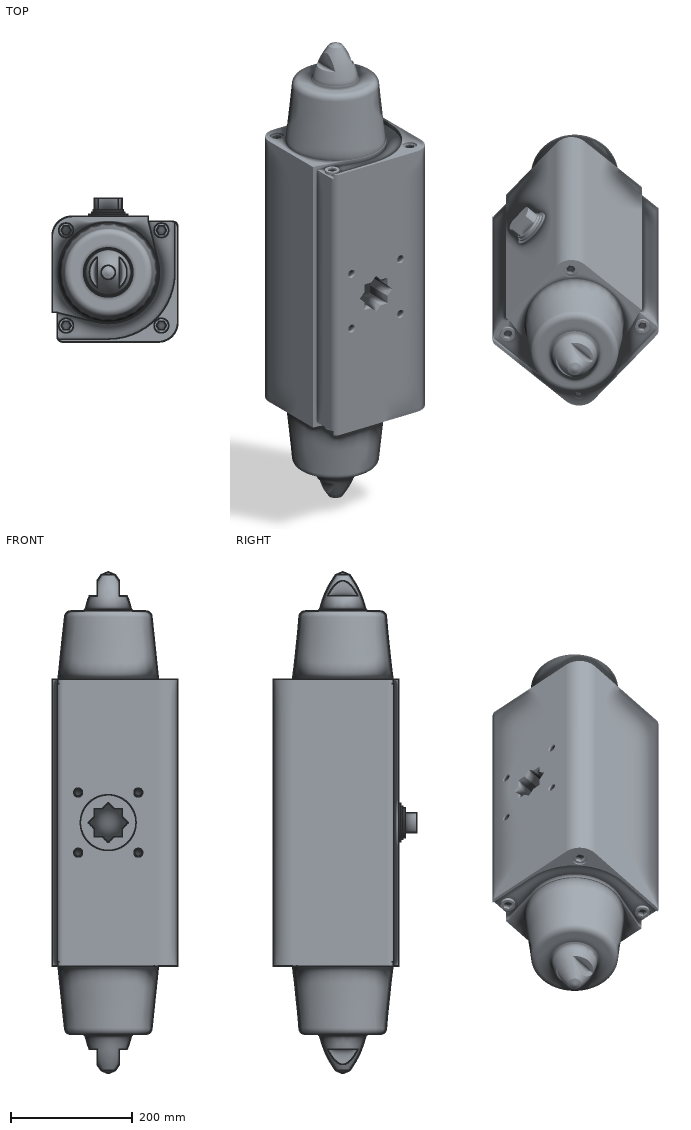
import cadquery as cq
import math


near_face = 93.0
far_face = 115.0
stepped_face = 84.5
step_place = 66.0
large_corner_radius = 33.0
small_corner_radius = 10.0
half_body_height = 237.0

recess_depth = 7.5
rim_width = 5.0
recess_reach = far_face - rim_width
pad_radius = 84.5

cap_base_radius = 83.0
cap_shoulder_radius = 72.0
cap_shoulder_height = 339.5
cap_flat_radius = 61.0
cap_top_height = 349.5
tip_foot_radius = 40.5
tip_base_radius = 38.0
tip_base_height = 352.0
tip_middle_radius = 28.0
tip_middle_height = 381.0
tip_end_radius = 12.0
tip_end_height = 409.0
half_height = 414.0
tip_flat_distance = 18.0
tip_flat_height = 374.0

screw_near_offset = 69.5
screw_far_offset = 88.0
screw_head_diameter = 24.0
screw_head_sink = 2.5
socket_across_flats = 14.0
socket_across_corners = socket_across_flats / math.cos(math.pi / 6)
socket_depth = 10.0

mount_spacing = 99.0
mount_diameter = 12.0
mount_mouth_diameter = 14.0
mount_depth = 21.0
drill_cone_height = 3.0

shaft_diameter = 92.0
shaft_shoulder = 66.0
star_side = 46.0
star_depth = 50.0
neck_diameter = 64.0
neck_end = 96.0
collar_diameter = 55.0
collar_end = 99.0
flange_diameter = 50.0
flange_end = 103.5
stub_diameter = 46.0
stub_across_flats = 33.0
stub_end = 122.5


def vertical_edges_at(x, y):
    """Select the upright edges standing at (x, y)."""
    margin = 0.1
    reach = half_body_height + margin
    return cq.selectors.BoxSelector(
        (x - margin, y - margin, -reach), (x + margin, y + margin, reach)
    )


def housing_block():
    block = (
        cq.Workplane("XY")
        .workplane(offset=-half_body_height)
        .polyline([
            (-near_face, near_face),
            (step_place, near_face),
            (step_place, stepped_face),
            (far_face, stepped_face),
            (far_face, -far_face),
            (-stepped_face, -far_face),
            (-stepped_face, -step_place),
            (-near_face, -step_place),
        ])
        .close()
        .extrude(2 * half_body_height)
    )
    for x, y in [(-near_face, near_face), (far_face, -far_face)]:
        block = block.edges(vertical_edges_at(x, y)).fillet(large_corner_radius)
    for x, y in [(far_face, stepped_face), (-stepped_face, -far_face)]:
        block = block.edges(vertical_edges_at(x, y)).fillet(small_corner_radius)
    return block


def end_recess():
    """Material removed from the top face around the raised pad."""
    floor = cq.Workplane("XY").workplane(offset=half_body_height - recess_depth)
    recess = (
        floor
        .moveTo(-stepped_face, stepped_face)
        .lineTo(recess_reach, stepped_face)
        .lineTo(recess_reach, 0)
        .radiusArc((0, -recess_reach), recess_reach)
        .lineTo(-stepped_face, -recess_reach)
        .close()
        .extrude(recess_depth)
    )
    step_angle = math.atan2(stepped_face, step_place)
    tangent_angle = step_angle - math.acos(pad_radius / math.hypot(step_place, stepped_face))
    tangent_x = pad_radius * math.cos(tangent_angle)
    tangent_y = pad_radius * math.sin(tangent_angle)
    pad_sides = (
        floor
        .polyline([
            (0, 0),
            (tangent_x, tangent_y),
            (step_place, stepped_face),
            (-stepped_face, stepped_face),
            (-stepped_face, -step_place),
            (-tangent_y, -tangent_x),
        ])
        .close()
        .extrude(recess_depth)
    )
    pad_round = floor.circle(pad_radius).extrude(recess_depth)
    return recess.cut(pad_sides).cut(pad_round)


def spring_cap():
    """Tapered cap with its pointed tip, reaching up from the top face."""
    cap = (
        cq.Workplane("XZ")
        .moveTo(0, half_body_height - recess_depth)
        .lineTo(cap_base_radius, half_body_height - recess_depth)
        .lineTo(cap_base_radius, half_body_height)
        .lineTo(cap_shoulder_radius, cap_shoulder_height)
        .radiusArc((cap_flat_radius, cap_top_height), -(cap_shoulder_radius - cap_flat_radius))
        .lineTo(tip_foot_radius, cap_top_height)
        .lineTo(tip_base_radius, tip_base_height)
        .threePointArc((tip_middle_radius, tip_middle_height), (tip_end_radius, tip_end_height))
        .lineTo(0, half_height)
        .close()
        .revolve(360, (0, 0, 0), (0, 1, 0))
    )
    for side in (-1, 1):
        beside_flat = (
            cq.Workplane("XY")
            .box(tip_foot_radius, 2 * tip_foot_radius, half_height - tip_flat_height,
                 centered=(True, True, False))
            .translate((side * (tip_flat_distance + tip_foot_radius / 2), 0, tip_flat_height))
        )
        cap = cap.cut(beside_flat)
    return cap


def screw_points(height):
    return (
        cq.Workplane("XY")
        .workplane(offset=height)
        .pushPoints([
            (x, y)
            for x in (-screw_near_offset, screw_far_offset)
            for y in (screw_near_offset, -screw_far_offset)
        ])
    )


def add_top_end(housing):
    """Recess, spring cap and corner screws of the upper end."""
    head_top = half_body_height - screw_head_sink
    head_base = half_body_height - recess_depth
    counterbores = screw_points(head_base).circle(screw_head_diameter / 2).extrude(recess_depth)
    heads = screw_points(head_base).circle(screw_head_diameter / 2).extrude(head_top - head_base)
    sockets = screw_points(head_top).polygon(6, socket_across_corners).extrude(-socket_depth)
    return (
        housing
        .cut(end_recess())
        .cut(counterbores)
        .union(spring_cap())
        .union(heads)
        .cut(sockets)
    )


def mounting_hole():
    """Countersunk blind hole with a drill-point bottom, running from y = 0 toward +Y."""
    radius = mount_diameter / 2
    mouth_radius = mount_mouth_diameter / 2
    return (
        cq.Workplane("XY")
        .polyline([
            (0, 0),
            (mouth_radius, 0),
            (radius, mouth_radius - radius),
            (radius, mount_depth),
            (0, mount_depth + drill_cone_height),
        ])
        .close()
        .revolve(360, (0, 0, 0), (0, 1, 0))
    )


def shaft_section(diameter, start, end):
    """Round length of the shaft from y = start to y = end."""
    return cq.Workplane("XZ").workplane(offset=-start).circle(diameter / 2).extrude(start - end)


def make_housing():
    housing = add_top_end(housing_block())
    housing = add_top_end(housing.mirror("XY"))
    for x in (-mount_spacing / 2, mount_spacing / 2):
        for z in (-mount_spacing / 2, mount_spacing / 2):
            housing = housing.cut(mounting_hole().translate((x, -far_face, z)))
    housing = housing.cut(shaft_section(shaft_diameter, -far_face, shaft_shoulder))
    return housing.cut(shaft_section(neck_diameter, shaft_shoulder, near_face))


def make_shaft():
    shaft = (
        shaft_section(shaft_diameter, -far_face, shaft_shoulder)
        .union(shaft_section(neck_diameter, shaft_shoulder, neck_end))
        .union(shaft_section(collar_diameter, neck_end, collar_end))
        .union(shaft_section(flange_diameter, collar_end, flange_end))
    )
    stub = shaft_section(stub_diameter, flange_end, stub_end)
    between_flats = cq.Workplane("XY").box(stub_diameter, 2 * stub_end, stub_across_flats)
    shaft = shaft.union(stub.intersect(between_flats))
    for angle in (0, 45):
        square_pocket = (
            cq.Workplane("XZ")
            .workplane(offset=far_face)
            .transformed(rotate=(0, 0, angle))
            .rect(star_side, star_side)
            .extrude(-star_depth)
        )
        shaft = shaft.cut(square_pocket)
    return shaft


housing = make_housing()
shaft = make_shaft()

result = cq.Compound.makeCompound([housing.solids().val(), shaft.solids().val()])